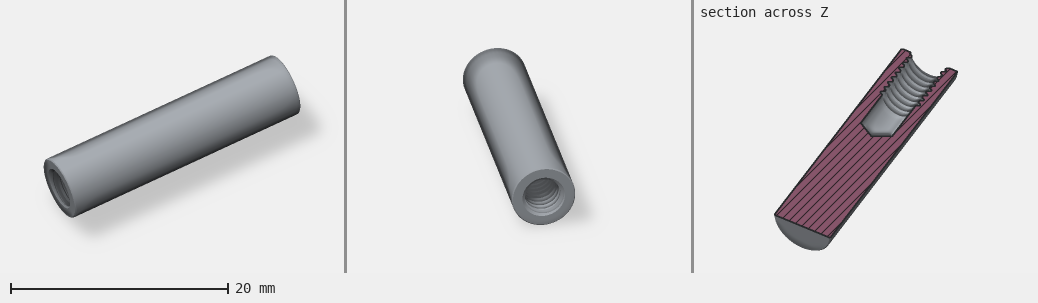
import cadquery as cq
import math

pin_length = 24.0
pin_diameter = 5.95
edge_chamfer = 0.1

mouth_diameter = 3.98
minor_diameter = 3.3
bore_depth = 10.0
drill_tip_angle = 120.0
countersink_angle = 90.0

major_diameter = 3.95
thread_pitch = 0.7
thread_depth = 6.0
flank_angle = 60.0
root_width = thread_pitch / 8
groove_start = -0.2
thread_turn = 180.0
bore_overlap = 0.05

pin_radius = pin_diameter / 2
mouth_radius = mouth_diameter / 2
minor_radius = minor_diameter / 2
major_radius = major_diameter / 2


def make_pin():
    """Plain pin standing on the origin along Z, both rims chamfered."""
    pin = cq.Workplane("XY").circle(pin_radius).extrude(pin_length)
    return pin.edges().chamfer(edge_chamfer)


def make_bore():
    """Countersunk blind bore, going up from the origin."""
    countersink_depth = (mouth_radius - minor_radius) / math.tan(math.radians(countersink_angle / 2))
    tip_height = minor_radius / math.tan(math.radians(drill_tip_angle / 2))
    return (
        cq.Workplane("XZ")
        .moveTo(0, 0)
        .lineTo(mouth_radius, 0)
        .lineTo(minor_radius, countersink_depth)
        .lineTo(minor_radius, bore_depth)
        .lineTo(0, bore_depth + tip_height)
        .close()
        .revolve(360, (0, 0, 0), (0, 1, 0))
    )


def make_thread_groove():
    """Solid bounded by four helical strips and a flat section at each end."""
    root_half = root_width / 2
    flank_slope = math.tan(math.radians(flank_angle / 2))
    inner_radius = minor_radius - bore_overlap
    inner_half = root_half + flank_slope * (major_radius - inner_radius)
    section = [
        (inner_radius, -inner_half),
        (major_radius, -root_half),
        (major_radius, root_half),
        (inner_radius, inner_half),
    ]

    rise = thread_depth - groove_start
    helices = [
        cq.Wire.makeHelix(thread_pitch, rise, radius).translate(cq.Vector(0, 0, height))
        for radius, height in section
    ]
    faces = [
        cq.Face.makeRuledSurface(helix, helices[(i + 1) % len(helices)])
        for i, helix in enumerate(helices)
    ]

    end_angle = 2 * math.pi * rise / thread_pitch
    for angle, lift in ((0, 0), (end_angle, rise)):
        corners = [
            cq.Vector(radius * math.cos(angle), radius * math.sin(angle), height + lift)
            for radius, height in section
        ]
        faces.append(cq.Face.makeFromWires(cq.Wire.makePolygon(corners, close=True)))

    groove = cq.Workplane(cq.Solid.makeSolid(cq.Shell.makeShell(faces)))
    return groove.translate((0, 0, groove_start))


upright_pin = make_pin().cut(make_bore()).cut(make_thread_groove())

upright_pin = upright_pin.rotate((0, 0, 0), (0, 0, 1), thread_turn)
result = upright_pin.rotate((0, 0, 0), (1, 0, 0), -90).translate((0, -pin_length / 2, 0))